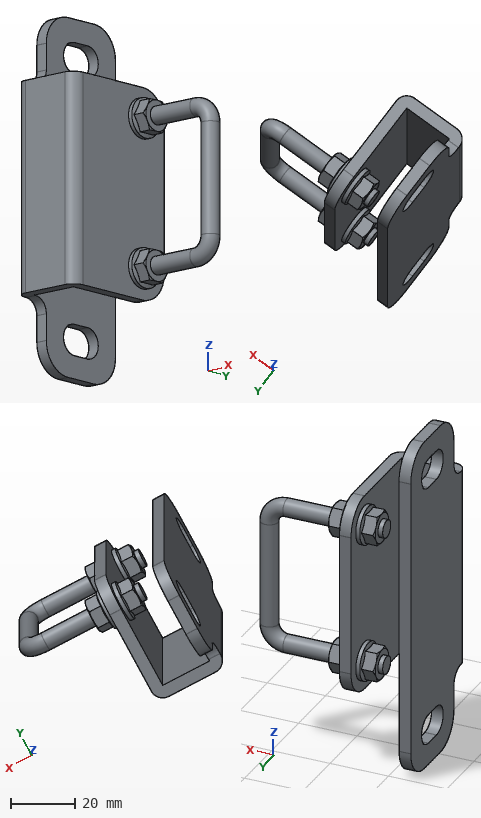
import cadquery as cq
import math


total_length = 115.0
channel_length = 68.0
channel_width = 24.5
channel_depth = 41.5
thickness = 4.0
plate_width = 32.0
corner_radius = 10.0
neck_radius = 5.0
slot_length = 16.0
slot_width = 10.0
slot_pitch = 90.0

rod_diameter = 6.0
leg_pitch = 48.0
bolt_start_x = 12.9
bolt_end_x = 56.0
bend_radius = 6.0
bolt_y = channel_depth - corner_radius

nut_height = 6.0
nut_across_flats = 10.0
nut_collar_diameter = 13.0
nut_collar_rim = 1.4
nut_collar_height = 1.8
nut_chamfer_angle = 30.0

flange_inner_x = channel_width - thickness
leg_positions = (-leg_pitch / 2, leg_pitch / 2)


def make_channel():
    """U-shaped cross-section with rounded outer bends and sharp inner corners."""
    outer = (
        cq.Workplane("XY")
        .box(channel_width, channel_depth, total_length, centered=(False, False, True))
        .edges("|Z and <Y")
        .fillet(thickness)
    )
    gap = (
        cq.Workplane("XY")
        .box(channel_width - 2 * thickness, channel_depth, total_length, centered=(False, False, True))
        .translate((thickness, thickness, 0))
    )
    return outer.cut(gap)


def make_plate_outline():
    """Mounting plate silhouette: wide in the middle, with a narrower ear at each end."""
    ears = (
        cq.Workplane("YZ")
        .center(channel_depth - plate_width / 2, 0)
        .rect(plate_width, total_length)
        .extrude(thickness)
        .edges("|X")
        .fillet(corner_radius)
    )
    middle = cq.Workplane("XY").box(
        thickness, channel_depth, channel_length, centered=(False, False, True)
    )
    ear_edge_y = channel_depth - plate_width
    reach_y = thickness / 2
    reach_z = channel_length / 2 + thickness / 2
    neck_corners = cq.selectors.BoxSelector(
        (0, ear_edge_y - reach_y, -reach_z),
        (thickness, ear_edge_y + reach_y, reach_z),
    )
    return ears.union(middle).edges("|X").edges(neck_corners).fillet(neck_radius)


def make_flange_outline():
    """Web and flange silhouette: channel length, with rounded free corners."""
    return (
        cq.Workplane("XY")
        .box(channel_width - thickness, channel_depth, channel_length, centered=(False, False, True))
        .translate((thickness, 0, 0))
        .edges("|X and >Y")
        .fillet(corner_radius)
    )


def make_bracket():
    body = make_channel().intersect(make_plate_outline().union(make_flange_outline()))
    slots = (
        cq.Workplane("YZ")
        .center(channel_depth - plate_width / 2, 0)
        .rarray(1.2, slot_pitch, 1, 2)
        .slot2D(slot_length, slot_width)
        .extrude(thickness)
    )
    bolt_holes = (
        cq.Workplane("YZ", origin=(flange_inner_x, bolt_y, 0))
        .rarray(1.2, leg_pitch, 1, 2)
        .circle(rod_diameter / 2)
        .extrude(thickness)
    )
    return body.cut(slots).cut(bolt_holes)


def make_u_bolt():
    """Round rod swept along two legs, two quarter bends and a straight grip."""
    grip_x = bolt_end_x - rod_diameter / 2
    leg_z = leg_pitch / 2
    bend_x = grip_x - bend_radius
    bend_z = leg_z - bend_radius
    mid_x = bend_x + bend_radius * math.sqrt(0.5)
    mid_z = bend_z + bend_radius * math.sqrt(0.5)
    path = (
        cq.Workplane("XZ", origin=(0, bolt_y, 0))
        .moveTo(bolt_start_x, leg_z)
        .lineTo(bend_x, leg_z)
        .threePointArc((mid_x, mid_z), (grip_x, bend_z))
        .lineTo(grip_x, -bend_z)
        .threePointArc((mid_x, -mid_z), (bend_x, -leg_z))
        .lineTo(bolt_start_x, -leg_z)
    )
    return (
        cq.Workplane("YZ", origin=(bolt_start_x, bolt_y, leg_z))
        .circle(rod_diameter / 2)
        .sweep(path)
    )


def make_nut(seat_x, leg_z, direction):
    """Nut whose collar sits on the flange at seat_x; direction is +1 or -1 along X."""
    flat_radius = nut_across_flats / 2
    corner_to_corner = nut_across_flats / math.cos(math.pi / 6)
    corner_drop = (corner_to_corner / 2 - flat_radius) * math.tan(math.radians(nut_chamfer_angle))
    hexagon = cq.Workplane("XY").polygon(6, corner_to_corner).extrude(nut_height)
    chamfer_envelope = (
        cq.Workplane("XZ")
        .polyline([
            (0, 0),
            (corner_to_corner / 2, 0),
            (corner_to_corner / 2, nut_height - corner_drop),
            (flat_radius, nut_height),
            (0, nut_height),
        ])
        .close()
        .revolve(360, (0, 0), (0, 1))
    )
    collar_radius = nut_collar_diameter / 2
    collar = (
        cq.Workplane("XZ")
        .polyline([
            (0, 0),
            (collar_radius, 0),
            (collar_radius, nut_collar_rim),
            (flat_radius, nut_collar_height),
            (0, nut_collar_height),
        ])
        .close()
        .revolve(360, (0, 0), (0, 1))
    )
    bore = cq.Workplane("XY").circle(rod_diameter / 2).extrude(nut_height)
    nut = hexagon.intersect(chamfer_envelope).union(collar).cut(bore)
    seat = cq.Plane(origin=(seat_x, bolt_y, leg_z), xDir=(0, 1, 0), normal=(direction, 0, 0))
    return nut.solids().val().moved(seat.location)


bracket = make_bracket()
u_bolt = make_u_bolt()
nuts = []
for nut_z in leg_positions:
    nuts.append(make_nut(flange_inner_x, nut_z, -1))
    nuts.append(make_nut(channel_width, nut_z, 1))

result = cq.Compound.makeCompound([bracket.solids().val(), u_bolt.val(), *nuts])